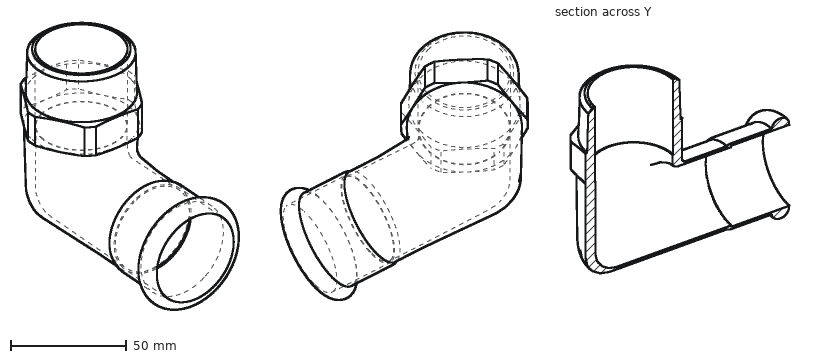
import cadquery as cq
import math


top_z = 67.4
lead_chamfer_height = 1.9
lead_tip_diameter = 42.7
thread_tip_diameter = 47.1
thread_root_diameter = 48.3
neck_height = 1.3

across_flats = 50.0
across_corners = 55.0
hex_sides = 6
hex_top_z = 45.0
hex_height = 15.9
hex_chamfer_height = 0.6
collar_height = 1.2

tube_diameter = 44.0
tube_start_x = 33.0
heel_radius = 12.6
throat_radius = 1.6
body_bend_width = 47.1

shoulder_start_x = 47.8
shoulder_end_x = 50.1
socket_diameter = 45.4
bead_diameter = 52.9
bead_thickness = 9.2
overall_length = 105.0

thread_bore_diameter = 40.0
elbow_bore_diameter = 39.4
tube_bore_diameter = 41.0
socket_bore_diameter = 42.4

socket_end_x = overall_length - across_flats / 2
hex_bottom_z = hex_top_z - hex_height
body_top_z = hex_bottom_z - collar_height

BEND_ANGLE = 90
BEND_STEPS = 4


def ellipse_between(heel, throat, width):
    """Ellipse symmetric about the XZ plane, with one axis running from heel to throat."""
    across = throat - heel
    normal = across.cross(cq.Vector(0, 1, 0))
    return cq.Wire.makeEllipse(across.Length / 2, width / 2, (heel + throat) / 2, normal, across)


def bend_section(turn, leg_radius, branch_radius, width, outer_radius, inner_radius):
    """Ellipse across the bend after a turn, in degrees, from the leg towards the branch."""
    short_of_x = 1 - math.cos(math.radians(turn))
    short_of_z = 1 - math.sin(math.radians(turn))
    heel = cq.Vector(outer_radius * short_of_x - leg_radius, 0, outer_radius * short_of_z - branch_radius)
    throat = cq.Vector(leg_radius + inner_radius * short_of_x, 0, branch_radius + inner_radius * short_of_z)
    return ellipse_between(heel, throat, width)


def elbow(leg_diameter, branch_diameter, width, outer_radius, inner_radius):
    """Solid bend joining a round leg on Z to a round branch on X."""
    leg_radius = leg_diameter / 2
    branch_radius = branch_diameter / 2
    sections = [
        bend_section(
            BEND_ANGLE * step / BEND_STEPS, leg_radius, branch_radius, width, outer_radius, inner_radius
        )
        for step in range(BEND_STEPS + 1)
    ]
    leg_end = ellipse_between(
        cq.Vector(-leg_radius, 0, body_top_z),
        cq.Vector(leg_radius, 0, body_top_z),
        leg_diameter,
    )
    branch_end = ellipse_between(
        cq.Vector(tube_start_x, 0, -branch_radius),
        cq.Vector(tube_start_x, 0, branch_radius),
        branch_diameter,
    )
    leg = cq.Solid.makeLoft([leg_end, sections[0]], True)
    bend = cq.Solid.makeLoft(sections)
    branch = cq.Solid.makeLoft([sections[-1], branch_end], True)
    return cq.Workplane(leg).union(cq.Workplane(bend)).union(cq.Workplane(branch))


def cylinder_z(diameter, bottom, top):
    """Cylinder on the Z axis between two heights."""
    return cq.Workplane().workplane(offset=bottom).circle(diameter / 2).extrude(top - bottom)


def cylinder_x(diameter, start, end):
    """Cylinder on the X axis between two positions."""
    return cq.Workplane("YZ").workplane(offset=start).circle(diameter / 2).extrude(end - start)


def threaded_end():
    """Tapered spigot with a lead-in chamfer, reaching down to the top of the hexagon."""
    return (
        cq.Workplane("XZ")
        .moveTo(0, hex_top_z)
        .lineTo(thread_root_diameter / 2, hex_top_z)
        .lineTo(thread_root_diameter / 2, hex_top_z + neck_height)
        .lineTo(thread_tip_diameter / 2, top_z - lead_chamfer_height)
        .lineTo(lead_tip_diameter / 2, top_z)
        .lineTo(0, top_z)
        .close()
        .revolve(360, (0, 0, 0), (0, 1, 0))
    )


def hexagon():
    """Hexagon with two flats facing X, its corners turned round and chamfered at both ends."""
    half_side_angle = 180 / hex_sides
    corner_diameter = across_flats / math.cos(math.radians(half_side_angle))
    prism = (
        cq.Workplane()
        .workplane(offset=hex_bottom_z)
        .polygon(hex_sides, corner_diameter)
        .extrude(hex_height)
        .rotate((0, 0, 0), (0, 0, 1), half_side_angle)
    )
    turned_blank = (
        cq.Workplane("XZ")
        .moveTo(0, hex_bottom_z)
        .lineTo(across_flats / 2, hex_bottom_z)
        .lineTo(across_corners / 2, hex_bottom_z + hex_chamfer_height)
        .lineTo(across_corners / 2, hex_top_z - hex_chamfer_height)
        .lineTo(across_flats / 2, hex_top_z)
        .lineTo(0, hex_top_z)
        .close()
        .revolve(360, (0, 0, 0), (0, 1, 0))
    )
    return prism.intersect(turned_blank)


def press_socket():
    """Tube, rounded shoulder, wider socket and the round bead at the mouth."""
    tube_radius = tube_diameter / 2
    socket_radius = socket_diameter / 2
    bead_radius = bead_thickness / 2
    bead_centre_x = socket_end_x - bead_radius
    bead_centre_radius = bead_diameter / 2 - bead_radius
    bead_start_x = bead_centre_x - math.sqrt(bead_radius**2 - (socket_radius - bead_centre_radius) ** 2)
    shoulder_length = shoulder_end_x - shoulder_start_x
    shoulder_rise = socket_radius - tube_radius
    shoulder_arc_radius = (shoulder_length**2 + shoulder_rise**2) / (2 * shoulder_rise)
    half_turn = math.asin(shoulder_length / shoulder_arc_radius) / 2
    shoulder_middle = (
        shoulder_end_x - shoulder_arc_radius * math.sin(half_turn),
        socket_radius - shoulder_arc_radius * (1 - math.cos(half_turn)),
    )
    return (
        cq.Workplane("XZ")
        .moveTo(tube_start_x, 0)
        .lineTo(tube_start_x, tube_radius)
        .lineTo(shoulder_start_x, tube_radius)
        .threePointArc(shoulder_middle, (shoulder_end_x, socket_radius))
        .lineTo(bead_start_x, socket_radius)
        .threePointArc((bead_centre_x, bead_diameter / 2), (socket_end_x, bead_centre_radius))
        .lineTo(socket_end_x, 0)
        .close()
        .revolve(360, (0, 0, 0), (1, 0, 0))
    )


def bores():
    """Continuous passage from the threaded end to the socket mouth."""
    wall = (tube_diameter - tube_bore_diameter) / 2
    passage = elbow(
        elbow_bore_diameter,
        tube_bore_diameter,
        (elbow_bore_diameter + tube_bore_diameter) / 2,
        heel_radius - wall,
        throat_radius + wall,
    )
    return (
        passage.union(cylinder_z(thread_bore_diameter, body_top_z, top_z))
        .union(cylinder_x(tube_bore_diameter, tube_start_x, shoulder_end_x))
        .union(cylinder_x(socket_bore_diameter, shoulder_end_x, socket_end_x))
    )


body = elbow(across_flats, tube_diameter, body_bend_width, heel_radius, throat_radius)
collar = cylinder_z(across_flats, body_top_z, hex_bottom_z)
outside = body.union(collar).union(hexagon()).union(threaded_end()).union(press_socket())

result = outside.cut(bores())